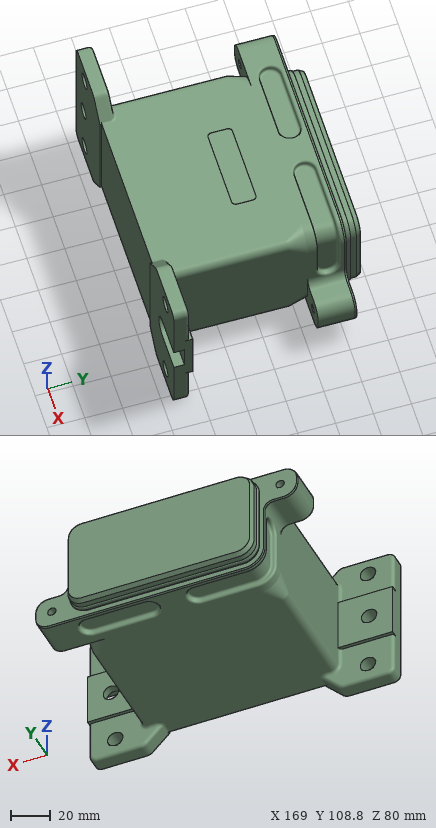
import cadquery as cq
import math


body_half_x = 108.7 / 2
body_half_z = 58.5 / 2
body_bottom = 1.0
body_corner_radius = 4.0
body_taper_start = 70.0
label_size = (44.6, 12.8)
label_y = 56.5
label_corner_radius = 2.2
label_depth = 0.2

overall_length = 169.0
foot_half_z = 80.0 / 2
foot_inner_x = 43.5
foot_thickness = 8.1
foot_corner_radius = 3.9
foot_shoulder_radius = 5.0
foot_edge_radius = 1.9
pad_half_z = 15.0
pad_top = foot_thickness + foot_edge_radius
mount_hole_diameter = 8.5
outer_hole_x = 70.0
outer_hole_z = 60.0 / 2
middle_hole_x = 71.5
slot_width = 13.7
slot_end_x = 58.5
slot_depth = 5.5

flange_bottom = 79.8
flange_top = 100.2
flange_corner_radius = 10.8
flange_edge_height = 1.0
flange_edge_inset = 0.3
ear_tip_x = 72.5
ear_width = 18.6
ear_corner_radius = 7.5
ear_root_radius = 4.9
ear_hole_diameter = 4.5

pocket_y = 91.0
pocket_width = 13.9
pocket_depth = 3.0
pocket_near_x = 6.8
pocket_far_x = 52.9
pocket_side_z = 7.1
pocket_edge_radius = 1.2

lid_top = 108.8
lid_half_x = 51.5
lid_half_z = 26.0
lid_corner_radius = 8.8
lid_chamfer_height = 2.5
lid_chamfer_inset = 1.4
bead_bottom = 100.7
bead_top = 103.3
bead_overhang = 0.7

select_margin = 0.08
beyond = 2 * overall_length


def plane_at(y):
    """Workplane with +X across and +Z up, at height y; a negative extrusion goes towards +Y."""
    return cq.Workplane("XZ", origin=(0, y, 0))


def block(half_x, half_z, y_from, y_to, corner_radius):
    """Rectangular block between two heights, with rounded corners."""
    solid = plane_at(y_from).rect(2 * half_x, 2 * half_z).extrude(y_from - y_to)
    return solid.edges("|Y").fillet(corner_radius)


def half_turn(solid):
    return solid.rotate((0, 0, 0), (0, 1, 0), 180)


def make_body():
    straight = block(body_half_x, body_half_z, body_bottom, body_taper_start, body_corner_radius)
    taper_height = flange_bottom - body_taper_start
    lower = cq.Sketch().rect(2 * body_half_x, 2 * body_half_z).vertices().fillet(body_corner_radius)
    upper = cq.Sketch().rect(2 * body_half_x, 2 * body_half_z).vertices().fillet(flange_corner_radius)
    taper = (
        plane_at(body_taper_start)
        .placeSketch(lower, upper.moved(cq.Location(cq.Vector(0, 0, -taper_height))))
        .loft(ruled=True)
    )
    label = (
        cq.Workplane("XY", origin=(0, label_y, body_half_z - label_depth))
        .rect(*label_size)
        .extrude(2 * label_depth)
        .edges("|Z")
        .fillet(label_corner_radius)
    )
    return straight.union(taper).cut(label)


def make_foot():
    """Foot on the -X side, without its holes."""
    outer_x = -overall_length / 2
    shoulder_x = -foot_inner_x - (foot_half_z - body_half_z)
    outline = [
        (outer_x, -foot_half_z),
        (shoulder_x, -foot_half_z),
        (-foot_inner_x, -body_half_z),
        (-foot_inner_x, body_half_z),
        (shoulder_x, foot_half_z),
        (outer_x, foot_half_z),
    ]
    plate = plane_at(0).polyline(outline).close().extrude(-foot_thickness)
    plate = plate.edges("|Y and (<Z or >Z) and (not <X)").fillet(foot_shoulder_radius)
    plate = plate.edges("|Y and <X").fillet(foot_corner_radius)
    return plate.faces(">Y").edges("not >X").fillet(foot_edge_radius)


def make_pad():
    """Raised strip across the middle of the foot on the -X side."""
    pad_length = overall_length / 2 - foot_inner_x
    pad = cq.Workplane().box(pad_length, pad_top, 2 * pad_half_z, centered=(False, False, True))
    return pad.translate((-overall_length / 2, 0, 0))


def cut_foot_holes(part):
    centres = [(x, z) for x in (-outer_hole_x, outer_hole_x) for z in (-outer_hole_z, outer_hole_z)]
    centres += [(-middle_hole_x, 0), (middle_hole_x, 0)]
    holes = plane_at(0).pushPoints(centres).circle(mount_hole_diameter / 2).extrude(-pad_top)
    slot_length = overall_length / 2 - slot_end_x + slot_width
    slot = (
        plane_at(0)
        .center(slot_end_x + slot_length / 2, 0)
        .slot2D(slot_length, slot_width)
        .extrude(-slot_depth)
    )
    return part.cut(holes).cut(slot)


def fillet_foot_joint(part, side):
    """Round the joint where the body rises out of the foot on one side (-1 or +1)."""
    lowest = foot_thickness - foot_edge_radius
    half_z = body_half_z + select_margin
    near = (side * (foot_inner_x - select_margin), lowest - select_margin, -half_z)
    far = (side * (body_half_x + select_margin), foot_thickness + select_margin, half_z)
    joint = cq.selectors.BoxSelector(near, far, boundingbox=True)
    return part.edges(joint).fillet(foot_edge_radius)


def flange_block(inset):
    """Flange without ears, inset on all sides, rounded at the two corners that carry no ear."""
    solid = plane_at(flange_bottom).rect(2 * (body_half_x - inset), 2 * (body_half_z - inset))
    solid = solid.extrude(flange_bottom - flange_top)
    for corner in ("|Y and >(1, 0, 1)", "|Y and <(1, 0, 1)"):
        solid = solid.edges(corner).fillet(flange_corner_radius - inset)
    return solid


def make_ear():
    """Ear on the -X side, flush with the +Z face of the flange."""
    bottom_z = body_half_z - ear_width
    root_z = bottom_z - ear_root_radius
    root_x = -body_half_x - ear_root_radius
    bend = ear_root_radius * math.sqrt(0.5)
    outline = (
        plane_at(flange_bottom)
        .moveTo(-body_half_x, root_z)
        .threePointArc((root_x + bend, root_z + bend), (root_x, bottom_z))
        .lineTo(-ear_tip_x, bottom_z)
        .lineTo(-ear_tip_x, body_half_z)
        .lineTo(-body_half_x, body_half_z)
        .close()
    )
    ear = outline.extrude(flange_bottom - flange_top)
    return ear.edges("|Y and <X").fillet(ear_corner_radius)


def cut_ear_hole(part):
    x = -ear_tip_x + ear_width / 2
    z = body_half_z - ear_width / 2
    hole = (
        plane_at(flange_bottom)
        .pushPoints([(x, z), (-x, -z)])
        .circle(ear_hole_diameter / 2)
        .extrude(flange_bottom - flange_top)
    )
    return part.cut(hole)


def grip_slot(plane, start, end):
    """Round-ended pocket outline on an upright face, kept small by the rounding of its rim."""
    length = end - start - 2 * pocket_edge_radius
    width = pocket_width - 2 * pocket_edge_radius
    return cq.Workplane(plane).center((start + end) / 2, pocket_y).slot2D(length, width)


def make_face_pocket():
    """Pocket on the -X half of the +Z face."""
    floor_z = body_half_z - pocket_depth
    slot = grip_slot("XY", -pocket_far_x, -pocket_near_x).extrude(pocket_depth)
    return slot.translate((0, 0, floor_z))


def make_corner_pocket():
    """Pocket that runs from the +Z face around the corner onto the +X face."""
    over_z_face = grip_slot("XY", pocket_near_x, beyond).extrude(beyond, both=True)
    over_x_face = grip_slot("ZY", -pocket_side_z, beyond).extrude(-beyond)
    return over_z_face.intersect(over_x_face).cut(flange_block(pocket_depth))


def make_flange():
    flange = flange_block(0)
    ear = make_ear()
    flange = flange.union(ear).union(half_turn(ear))
    flange = flange.faces(">Y").chamfer(flange_edge_height, flange_edge_inset)
    for pocket in (make_face_pocket(), make_corner_pocket()):
        flange = flange.cut(pocket).cut(half_turn(pocket))
    half_width = pocket_width / 2
    pocket_edges = cq.selectors.BoxSelector(
        (-beyond, pocket_y - half_width, -beyond),
        (beyond, pocket_y + half_width, beyond),
        boundingbox=True,
    )
    return flange.edges(pocket_edges).fillet(pocket_edge_radius)


def make_lid():
    lid = block(lid_half_x, lid_half_z, flange_top, lid_top, lid_corner_radius)
    lid = lid.faces(">Y").chamfer(lid_chamfer_height, lid_chamfer_inset)
    bead = block(lid_half_x + bead_overhang, lid_half_z + bead_overhang, bead_bottom, bead_top,
                 lid_corner_radius + bead_overhang)
    bead = bead.faces("<Y or >Y").edges().fillet(bead_overhang)
    return lid.union(bead)


foot = make_foot()
part = make_body().union(foot).union(half_turn(foot))
part = fillet_foot_joint(part, -1)
part = fillet_foot_joint(part, 1)
pad = make_pad()
part = part.union(pad).union(half_turn(pad))
part = cut_foot_holes(part)
part = part.union(make_flange())
part = cut_ear_hole(part)
result = part.union(make_lid())